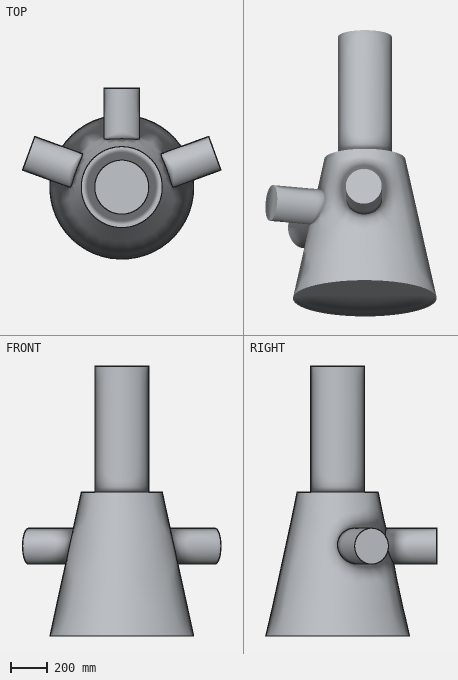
import cadquery as cq

total_height = 1500.0
base_diameter = 800.0
cone_height = base_diameter
cone_top_diameter = 450.0
shaft_diameter = 300.0
arm_diameter = 200.0
arm_reach = 550.0
arm_axis_height = 500.0
arm_angles = (20.0, 90.0, 160.0)


def make_arm(angle):
    """Round arm running outward from the cone axis at the given angle."""
    arm = cq.Workplane("YZ").circle(arm_diameter / 2).extrude(arm_reach)
    return arm.rotate((0, 0, 0), (0, 0, 1), angle).translate((0, 0, arm_axis_height))


def make_arm_cluster():
    """Three arms joined into one solid where they meet on the axis."""
    cluster = make_arm(arm_angles[0])
    for angle in arm_angles[1:]:
        cluster = cluster.union(make_arm(angle))
    return cluster


def make_cone(arm_cluster):
    """Truncated cone with a matching cavity for the arm cluster."""
    profile = [
        (0, 0),
        (base_diameter / 2, 0),
        (cone_top_diameter / 2, cone_height),
        (0, cone_height),
    ]
    cone = cq.Workplane("XZ").polyline(profile).close().revolve(360, (0, 0), (0, 1))
    return cone.cut(arm_cluster)


def make_shaft():
    """Upright round shaft standing on the top face of the cone."""
    base = cq.Workplane("XY").workplane(offset=cone_height)
    return base.circle(shaft_diameter / 2).extrude(total_height - cone_height)


arm_cluster = make_arm_cluster()
cone = make_cone(arm_cluster)
shaft = make_shaft()

result = cq.Compound.makeCompound([cone.solids().val(), shaft.val(), arm_cluster.solids().val()])